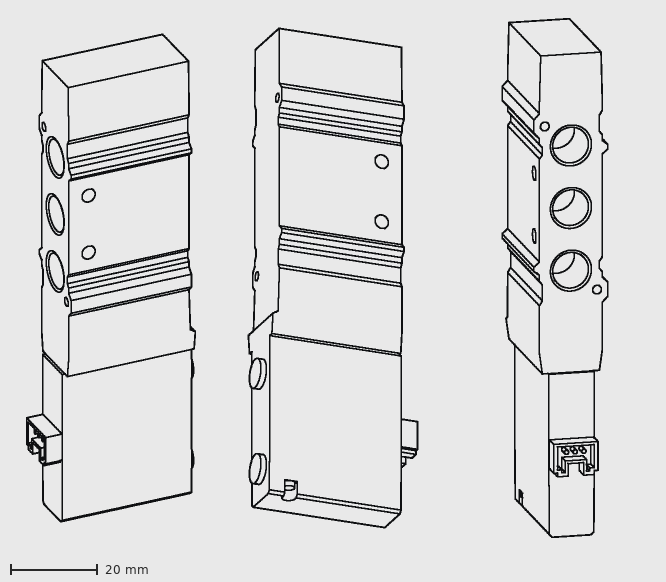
import cadquery as cq


total_height = 115.1
body_half_width = 7.5
body_depth = 30.6
body_bottom = 39.0
total_width = 17.6
rib_half_width = total_width / 2
groove_half_width = 6.8
middle_port_height = 78.3
port_pitch = 15.0
cap_bottom = 103.9
cap_draft = 0.29
taper_top = 43.9
tapered_half_width = 6.8

wide_rib_outer, wide_rib_inner = (23.0, 17.0), (21.6, 18.3)
narrow_groove_outer, narrow_groove_inner = (15.7, 12.2), (14.8, 13.1)
narrow_rib_outer, narrow_rib_inner = (-12.4, -15.7), (-13.6, -14.6)
wide_groove_outer, wide_groove_inner = (-17.0, -22.9), (-18.0, -21.8)

foot_top = 44.7
foot_back = 32.2
back_slope_top = 55.5
back_slope_offset = 0.3

port_diameter = 8.5
port_mouth_diameter = 9.8
port_mouth_depth = 0.3
port_depth = 13.8
mount_hole_diameter = 2.1
mount_hole_x = 6.2
mount_hole_rise = 19.9
cross_hole_diameter = 3.3
cross_hole_y = 5.1

block_half_width = 5.4
block_front = -0.7
block_bottom_chamfer = 0.7
block_draft_height = 15.5
block_draft = 0.1
knob_diameter = 7.0
knob_length = 1.4
knob_heights = (31.4, 7.7)

recess_diameter = 3.1
button_diameter = 2.9
recess_y = 26.8
recess_height = 3.8
recess_inset = 1.6
button_bottom = 2.5

socket_bottom = block_draft_height
socket_top = 23.4
socket_half_width = 5.3
socket_front = -4.8
socket_step = 0.9
socket_side_wall = 0.9
socket_thin_wall = 0.7
cavity_bottom = 16.5
cavity_step_width = 1.0
cavity_step_height = 0.7
cavity_depth = 3.5
notch_half_width = 1.8
notch_top = 18.5
pin_diameter = 1.0
pin_pitch = 2.1
pin_height = 21.1
pin_length = 2.8


def side_step(outer, inner, half_width):
    """Four corners of a sloped rib or groove on the left side, going down."""
    return [
        (-body_half_width, middle_port_height + outer[0]),
        (-half_width, middle_port_height + inner[0]),
        (-half_width, middle_port_height + inner[1]),
        (-body_half_width, middle_port_height + outer[1]),
    ]


def box_between(x_range, y_range, z_range):
    """Axis-aligned box between the given limits."""
    size = [limits[1] - limits[0] for limits in (x_range, y_range, z_range)]
    corner = (x_range[0], y_range[0], z_range[0])
    return cq.Workplane("XY").box(*size, centered=False).translate(corner)


def cylinder_along_y(diameter, x, z, y_start, y_end):
    """Round bar parallel to Y."""
    direction = cq.Vector(0, 1, 0)
    return cq.Workplane(
        cq.Solid.makeCylinder(diameter / 2, y_end - y_start, cq.Vector(x, y_start, z), direction)
    )


def make_body():
    """Ribbed body; its ribs and grooves repeat half a turn around the middle port."""
    left_steps = (
        side_step(wide_rib_outer, wide_rib_inner, rib_half_width)
        + side_step(narrow_groove_outer, narrow_groove_inner, groove_half_width)
        + side_step(narrow_rib_outer, narrow_rib_inner, rib_half_width)
        + side_step(wide_groove_outer, wide_groove_inner, groove_half_width)
    )
    right_steps = [(-x, 2 * middle_port_height - z) for x, z in left_steps]
    top_half_width = body_half_width - cap_draft
    outline = (
        [(-top_half_width, total_height), (-body_half_width, cap_bottom)]
        + left_steps
        + [
            (-body_half_width, taper_top),
            (-tapered_half_width, body_bottom),
            (tapered_half_width, body_bottom),
            (body_half_width, taper_top),
        ]
        + right_steps
        + [(body_half_width, cap_bottom), (top_half_width, total_height)]
    )
    extruded = cq.Workplane("XZ").polyline(outline).close().extrude(-foot_back)
    back_outline = [
        (0, body_bottom),
        (foot_back, body_bottom),
        (foot_back, taper_top),
        (body_depth + back_slope_offset, foot_top),
        (body_depth, back_slope_top),
        (body_depth, total_height),
        (0, total_height),
    ]
    trim = cq.Workplane("YZ").polyline(back_outline).close().extrude(rib_half_width, both=True)
    return extruded.intersect(trim)


def cut_body_holes(body):
    """Ports, mounting holes and cross holes."""
    for step in (-1, 0, 1):
        height = middle_port_height + step * port_pitch
        port = cylinder_along_y(port_diameter, 0, height, 0, port_depth)
        mouth = cq.Workplane(
            cq.Solid.makeCone(
                port_mouth_diameter / 2,
                port_diameter / 2,
                port_mouth_depth,
                cq.Vector(0, 0, height),
                cq.Vector(0, 1, 0),
            )
        )
        body = body.cut(port).cut(mouth)
    for side in (-1, 1):
        mount_height = middle_port_height - side * mount_hole_rise
        mount_hole = cylinder_along_y(
            mount_hole_diameter, side * mount_hole_x, mount_height, 0, foot_back
        )
        cross_height = middle_port_height + side * port_pitch / 2
        cross_hole = (
            cq.Workplane("YZ")
            .center(cross_hole_y, cross_height)
            .circle(cross_hole_diameter / 2)
            .extrude(rib_half_width, both=True)
        )
        body = body.cut(mount_hole).cut(cross_hole)
    return body


def make_block():
    """Solenoid block, narrowing slightly to its chamfered bottom, with two knobs on its back."""
    bottom_half_width = block_half_width - block_draft
    outline = [
        (-block_half_width, body_bottom),
        (-block_half_width, block_draft_height),
        (-bottom_half_width, 0),
        (bottom_half_width, 0),
        (block_half_width, block_draft_height),
        (block_half_width, body_bottom),
    ]
    block = (
        cq.Workplane("XZ", origin=(0, block_front, 0))
        .polyline(outline)
        .close()
        .extrude(block_front - foot_back)
    )
    block = block.faces("<Z").edges("|Y").chamfer(block_bottom_chamfer)
    for height in knob_heights:
        block = block.union(
            cylinder_along_y(knob_diameter, 0, height, body_depth, foot_back + knob_length)
        )
    return block


def cut_side_recess(block):
    """Round-ended recess open to the left and below, with a round button in its upper part."""
    radius = recess_diameter / 2
    centre_x = -block_half_width + recess_inset
    recess = cq.Workplane("XY").center(centre_x, recess_y).circle(radius).extrude(recess_height)
    opening = box_between(
        (-block_half_width, centre_x), (recess_y - radius, recess_y + radius), (0, recess_height)
    )
    button = (
        cq.Workplane("XY", origin=(centre_x, recess_y, button_bottom))
        .circle(button_diameter / 2)
        .extrude(recess_height - button_bottom)
    )
    return block.cut(recess).cut(opening).union(button)


def stepped_bar(half_width, bottom, top, step_width, step_height, depth):
    """Bar running back from the socket mouth, with both lower corners stepped."""
    y_range = (socket_front, socket_front + depth)
    upper = box_between((-half_width, half_width), y_range, (bottom + step_height, top))
    lower = box_between((step_width - half_width, half_width - step_width), y_range, (bottom, top))
    return upper.union(lower)


def make_socket():
    """Plug socket on the front of the block: a hood around three pins, notched from below."""
    hood_depth = block_front - socket_front
    hood = stepped_bar(
        socket_half_width,
        socket_bottom,
        socket_top,
        socket_step,
        socket_step,
        hood_depth,
    )
    cavity = stepped_bar(
        socket_half_width - socket_side_wall,
        cavity_bottom,
        socket_top - socket_thin_wall,
        cavity_step_width,
        cavity_step_height,
        cavity_depth,
    )
    tongue_half_width = notch_half_width + socket_thin_wall
    tongue = box_between(
        (-tongue_half_width, tongue_half_width),
        (socket_front, block_front),
        (socket_bottom, notch_top + socket_thin_wall),
    )
    notch = box_between(
        (-notch_half_width, notch_half_width),
        (socket_front, block_front),
        (socket_bottom, notch_top),
    )
    socket = hood.cut(cavity.cut(tongue)).cut(notch)
    cavity_floor = socket_front + cavity_depth
    for step in (-1, 0, 1):
        pin_x = step * pin_pitch
        pin = cylinder_along_y(pin_diameter, pin_x, pin_height, cavity_floor - pin_length, block_front)
        socket = socket.union(pin)
    return socket


valve_body = cut_body_holes(make_body())
solenoid_block = cut_side_recess(make_block())
result = valve_body.union(solenoid_block).union(make_socket())